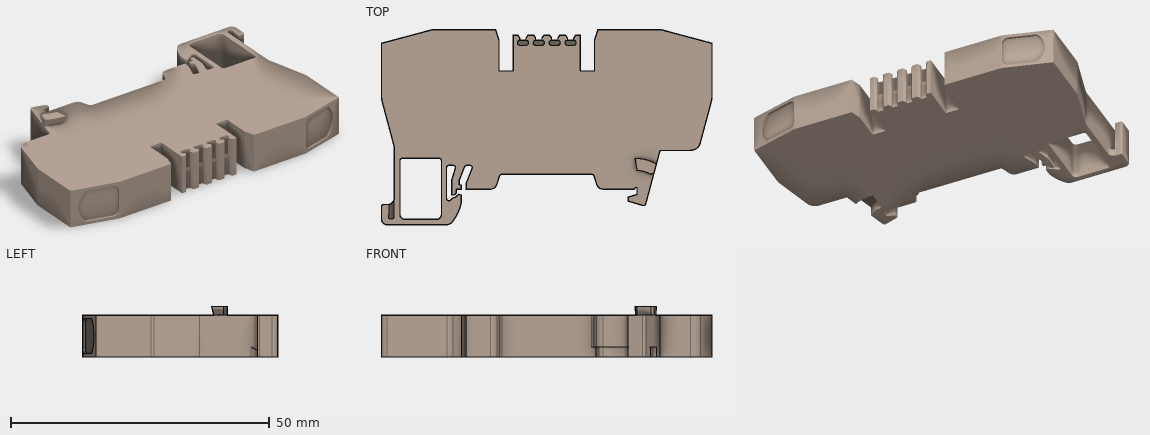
import cadquery as cq
import math

LENGTH = 64.0
WIDTH = 37.81
BODY_HEIGHT = 8.1
TOTAL_HEIGHT = 9.8
MID_X = LENGTH / 2
STEP_HEIGHT = 1.95
CUT_MARGIN = 1.0
PICK_REACH = 0.05

TAPER = math.tan(math.radians(15))
SHOULDER_X = 9.85
SHOULDER_Y = WIDTH - SHOULDER_X * TAPER
FLANK_INSET = 2.45
FLANK_TOP_Y = 24.3
FLANK_RADIUS = 2.3
FLANK_BOTTOM_Y = FLANK_TOP_Y - FLANK_INSET / TAPER
RIGHT_EDGE_Y = 14.4
RIGHT_CORNER_RADIUS = 2.0

SLOT_OUTER = 9.2
SLOT_INNER = 6.5
SLOT_FLOOR_Y = 29.8
SLOT_MOUTH_OUTER = 9.9
SLOT_MOUTH_Y = 35.7
CARRIER_Y = 36.75
TOOTH_GAPS = 4
TOOTH_PITCH = 3.08
GAP_TOP_WIDTH = 1.95
GAP_NECK_WIDTH = 1.2
GAP_NECK_Y = 36.2
GAP_FLOOR_Y = 35.75
SOCKET_LENGTH = 2.15
SOCKET_WIDTH = 1.0
SOCKET_DEPTH = BODY_HEIGHT / 2

FOOT_Y = 6.9
RAIL_Y = 9.8
RAIL_HALF = 9.02
RAIL_SLOPE = 0.93
FOOT_RADIUS = 1.3
RAIL_RADIUS = 0.55
FOOT_LEFT_X = 16.4
HOOK_CORNER = (49.45, 5.9)
SLANT_TOP_X = 53.95
HOOK_BARB_X = 47.75
HOOK_BARB_DROP = 0.5
HOOK_BARB_WIDTH = 0.8
HOOK_TIP_Y = 3.6
HOOK_TIP_RADIUS = 0.5
FOOT_STEP = 0.45
FOOT_STEP_END_X = 48.2
HEEL_RELIEF_WIDTH = 0.35
HEEL_RELIEF_DEPTH = 0.3
HEEL_RADIUS = 0.25

LATCH_TOP_Y = 11.5
LATCH_SLIT_LEFT = 12.62
LATCH_SLIT_RIGHT = 17.75
LATCH_SLIT_BOTTOM = 4.72
LATCH_SLIT_RADIUS = 0.4
LATCH_VALLEY_X = 13.25
LIP_Y = 5.95
LIP_LEDGE_Y = 5.35
LIP_WIDTH = 0.5
LIP_CHAMFER = 0.2
FOOT_BEND_Y = 8.1
TONGUE_ROOT_LEFT = 14.47
TONGUE_ROOT_RIGHT = 16.2
TONGUE_BEND_Y = 8.7
TONGUE_CATCH_Y = 7.75
TONGUE_TIP_Y = 5.75
TONGUE_TIP_RIGHT = 14.5
TONGUE_TIP_CHAMFER = 0.4
TONGUE_LEFT = 13.58
TONGUE_RIGHT = 15.1
TAIL_START = (12.7, 0)
TAIL_HEEL_MIDDLE = (13.35, 0.25)
TAIL_HEEL_END = (13.85, 0.75)
TAIL_MIDDLE = (14.88, 2.45)
TAIL_END_Y = 4.2
LATCH_TIP_X = 15.45

WINDOW_LEFT = 3.6
WINDOW_RIGHT = 11.6
WINDOW_BOTTOM = 1.1
WINDOW_TOP = 12.9
WINDOW_TOP_RADIUS = 0.5
WINDOW_BOTTOM_RADIUS = 0.9
HOOK_TOP_Y = 3.95
HOOK_FILLET = 1.25
HOOK_CORNER_RADIUS = 1.1
HOOK_TOP_RADIUS = 0.35
SLIT_LEFT = 1.45
SLIT_BOTTOM = 1.1
SLIT_ROOT_RADIUS = 0.56
WEB_HEIGHT = 1.5
WEB_FILLET = 0.45

PIN_CENTER = (49.3, 4.95)
PIN_OUTER_RADIUS = 7.9
PIN_INNER_RADIUS = 5.6
PIN_UNDERCUT = 0.42
PIN_LEFT_TOP_X = 49.1
PIN_LEFT_BOTTOM_X = 49.5
PIN_CHAMFER_START = (52.2, 9.83)
PIN_CHAMFER_END_Y = 10.05
POCKET_INNER_RADIUS = 3.7

RECESS_LENGTH = 8.4
RECESS_START = 0.1
RECESS_HEIGHT = 6.75
RECESS_BULGE = 1.65
RECESS_CORNER = 1.2
RECESS_DEPTH = 0.52


def slant_x(y):
    """X of the sloping outer side of the right foot at height y."""
    return SLANT_TOP_X - (RIGHT_EDGE_Y - y) * TAPER


def through_cut(points):
    """Cutter of the given outline through the full height of the housing."""
    height = BODY_HEIGHT + 2 * CUT_MARGIN
    return cq.Workplane("XY").polyline(points).close().extrude(height).translate((0, 0, -CUT_MARGIN))


def round_edges(body, points, radius):
    """Fillet the vertical edges that stand on the given XY points."""
    for x, y in points:
        box = cq.selectors.BoxSelector(
            (x - PICK_REACH, y - PICK_REACH, -CUT_MARGIN),
            (x + PICK_REACH, y + PICK_REACH, TOTAL_HEIGHT + CUT_MARGIN),
        )
        body = body.edges("|Z").edges(box).fillet(radius)
    return body


def make_housing():
    """Flat housing with its rail recess, feet and latch block, without the cut-outs."""
    left_toe = (MID_X - RAIL_HALF - RAIL_SLOPE, FOOT_Y)
    left_rail_end = (MID_X - RAIL_HALF, RAIL_Y)
    right_rail_end = (MID_X + RAIL_HALF, RAIL_Y)
    right_toe = (MID_X + RAIL_HALF + RAIL_SLOPE, FOOT_Y)
    right_corner = (LENGTH - (FLANK_TOP_Y - RIGHT_EDGE_Y) * TAPER, RIGHT_EDGE_Y)
    hook_x, hook_y = HOOK_CORNER
    relief_x = hook_x - HEEL_RELIEF_WIDTH
    relief_y = FOOT_Y + HEEL_RELIEF_DEPTH
    toe_tip = (slant_x(HOOK_TIP_Y), HOOK_TIP_Y)
    right_side = [
        left_toe,
        left_rail_end,
        right_rail_end,
        right_toe,
        (relief_x, FOOT_Y),
        (relief_x, relief_y),
        (hook_x, relief_y),
        HOOK_CORNER,
        (HOOK_BARB_X, hook_y - HOOK_BARB_DROP),
        (HOOK_BARB_X, hook_y - HOOK_BARB_DROP - HOOK_BARB_WIDTH),
        toe_tip,
        (SLANT_TOP_X, RIGHT_EDGE_Y),
        right_corner,
        (LENGTH, FLANK_TOP_Y),
        (LENGTH, SHOULDER_Y),
        (LENGTH - SHOULDER_X, WIDTH),
    ]
    left_side = [
        (SHOULDER_X, WIDTH),
        (0, SHOULDER_Y),
        (0, FLANK_TOP_Y),
        (FLANK_INSET, FLANK_BOTTOM_Y),
        (FLANK_INSET, HOOK_TOP_Y),
        (0, HOOK_TOP_Y),
        (0, 0),
    ]
    outline = (
        cq.Workplane("XY")
        .moveTo(*TAIL_START)
        .threePointArc(TAIL_HEEL_MIDDLE, TAIL_HEEL_END)
        .threePointArc(TAIL_MIDDLE, (LATCH_TIP_X, TAIL_END_Y))
        .lineTo(LATCH_TIP_X, FOOT_Y)
    )
    for point in right_side + left_side:
        outline = outline.lineTo(*point)
    body = outline.close().extrude(BODY_HEIGHT)
    body = round_edges(body, [left_toe, right_toe], FOOT_RADIUS)
    body = round_edges(body, [left_rail_end, right_rail_end], RAIL_RADIUS)
    body = round_edges(body, [right_corner], RIGHT_CORNER_RADIUS)
    body = round_edges(body, [toe_tip], HOOK_TIP_RADIUS)
    body = round_edges(body, [(FLANK_INSET, HOOK_TOP_Y)], HOOK_FILLET)
    body = round_edges(body, [(relief_x, FOOT_Y)], HEEL_RADIUS)
    body = round_edges(body, [(0, FLANK_TOP_Y), (LENGTH, FLANK_TOP_Y)], FLANK_RADIUS)
    body = round_edges(body, [(0, HOOK_TOP_Y)], HOOK_TOP_RADIUS)
    return round_edges(body, [(0, 0)], HOOK_CORNER_RADIUS)


def carrier_slots():
    """The two flared slots beside the marker carrier and the lowered carrier top."""
    right_half = [
        (0, CARRIER_Y),
        (SLOT_INNER, CARRIER_Y),
        (SLOT_INNER, SLOT_FLOOR_Y),
        (SLOT_OUTER, SLOT_FLOOR_Y),
        (SLOT_OUTER, SLOT_MOUTH_Y),
        (SLOT_MOUTH_OUTER, WIDTH),
        (SLOT_MOUTH_OUTER, WIDTH + CUT_MARGIN),
        (0, WIDTH + CUT_MARGIN),
    ]
    half = through_cut(right_half)
    return half.union(half.mirror("YZ")).translate((MID_X, 0, 0))


def tooth_gap(center_x):
    """One tapered gap through the carrier edge with a blind round-ended socket below it."""
    top = GAP_TOP_WIDTH / 2
    neck = GAP_NECK_WIDTH / 2
    gap = through_cut([
        (center_x - top, CARRIER_Y + CUT_MARGIN),
        (center_x - top, CARRIER_Y),
        (center_x - neck, GAP_NECK_Y),
        (center_x - neck, GAP_FLOOR_Y),
        (center_x + neck, GAP_FLOOR_Y),
        (center_x + neck, GAP_NECK_Y),
        (center_x + top, CARRIER_Y),
        (center_x + top, CARRIER_Y + CUT_MARGIN),
    ])
    socket = (
        cq.Workplane("XY")
        .center(center_x, GAP_FLOOR_Y - SOCKET_WIDTH / 2)
        .slot2D(SOCKET_LENGTH, SOCKET_WIDTH)
        .extrude(SOCKET_DEPTH)
        .translate((0, 0, BODY_HEIGHT - SOCKET_DEPTH))
    )
    return gap.union(socket)


def latch_window():
    """Rounded rectangular opening through the latch block."""
    width = WINDOW_RIGHT - WINDOW_LEFT
    depth = WINDOW_TOP - WINDOW_BOTTOM
    window = (
        cq.Workplane("XY")
        .box(width, depth, BODY_HEIGHT + 2 * CUT_MARGIN, centered=False)
        .translate((WINDOW_LEFT, WINDOW_BOTTOM, -CUT_MARGIN))
    )
    upper = [(WINDOW_LEFT, WINDOW_TOP), (WINDOW_RIGHT, WINDOW_TOP)]
    lower = [(WINDOW_LEFT, WINDOW_BOTTOM), (WINDOW_RIGHT, WINDOW_BOTTOM)]
    window = round_edges(window, upper, WINDOW_TOP_RADIUS)
    return round_edges(window, lower, WINDOW_BOTTOM_RADIUS)


def latch_gap():
    """Continuous gap that leaves a springy tongue hanging above the latch lip."""
    slit_corner = (LATCH_SLIT_LEFT, LATCH_TOP_Y)
    slit_bottom = (LATCH_SLIT_LEFT, LATCH_SLIT_BOTTOM)
    root_left = (TONGUE_ROOT_LEFT, LATCH_TOP_Y)
    root_right = (TONGUE_ROOT_RIGHT, LATCH_TOP_Y)
    far_corner = (LATCH_SLIT_RIGHT, LATCH_TOP_Y)
    tongue_outline = [
        root_left,
        (TONGUE_LEFT, TONGUE_BEND_Y),
        (TONGUE_LEFT, TONGUE_TIP_Y),
        (TONGUE_TIP_RIGHT - TONGUE_TIP_CHAMFER, TONGUE_TIP_Y),
        (TONGUE_TIP_RIGHT, TONGUE_TIP_Y + TONGUE_TIP_CHAMFER),
        (TONGUE_TIP_RIGHT, FOOT_Y),
        (LATCH_TIP_X, FOOT_Y),
        (LATCH_TIP_X, TONGUE_CATCH_Y),
        (TONGUE_RIGHT, TONGUE_CATCH_Y),
        (TONGUE_RIGHT, TONGUE_BEND_Y),
        root_right,
    ]
    lip_outline = [
        (LATCH_TIP_X, LIP_Y - LIP_CHAMFER),
        (LATCH_TIP_X - LIP_WIDTH, LIP_Y),
        (TONGUE_TIP_RIGHT - LIP_CHAMFER, LIP_LEDGE_Y),
        (TONGUE_TIP_RIGHT - LIP_WIDTH, LIP_LEDGE_Y),
        (LATCH_VALLEY_X, LATCH_SLIT_BOTTOM),
    ]
    gap = through_cut([
        slit_corner,
        *tongue_outline,
        far_corner,
        (FOOT_LEFT_X, FOOT_BEND_Y),
        (FOOT_LEFT_X, FOOT_Y - CUT_MARGIN),
        *lip_outline,
        slit_bottom,
    ])
    rounded_corners = [slit_corner, slit_bottom, root_left, root_right, far_corner]
    return round_edges(gap, rounded_corners, LATCH_SLIT_RADIUS)


def hook_slit():
    """Slit between the left hook and the window wall, closed by a low filleted web."""
    slit_top = HOOK_TOP_Y + HOOK_FILLET
    slit = through_cut([
        (SLIT_LEFT, SLIT_BOTTOM + SLIT_ROOT_RADIUS),
        (FLANK_INSET, SLIT_BOTTOM + SLIT_ROOT_RADIUS),
        (FLANK_INSET, slit_top),
        (SLIT_LEFT, slit_top),
    ])
    root_x = FLANK_INSET - SLIT_ROOT_RADIUS
    root_y = SLIT_BOTTOM + SLIT_ROOT_RADIUS
    root = (
        cq.Workplane("XY", origin=(root_x, root_y, -CUT_MARGIN))
        .circle(SLIT_ROOT_RADIUS)
        .extrude(BODY_HEIGHT + 2 * CUT_MARGIN)
    )
    web = (
        cq.Workplane("XZ")
        .moveTo(0, -CUT_MARGIN)
        .lineTo(FLANK_INSET, -CUT_MARGIN)
        .lineTo(FLANK_INSET, WEB_HEIGHT + WEB_FILLET)
        .radiusArc((FLANK_INSET - WEB_FILLET, WEB_HEIGHT), WEB_FILLET)
        .lineTo(0, WEB_HEIGHT)
        .close()
        .extrude(-WIDTH)
    )
    return slit.union(root).cut(web)


def foot_step():
    """Setback along the lower part of the right foot."""
    slope_x = RAIL_SLOPE / (RAIL_Y - FOOT_Y)
    rail_end_x = MID_X + RAIL_HALF
    toe_x = rail_end_x + RAIL_SLOPE
    setback_x = FOOT_STEP * math.hypot(1, slope_x)
    inner_toe = (toe_x + setback_x - FOOT_STEP * slope_x, FOOT_Y + FOOT_STEP)
    step = (
        cq.Workplane("XY")
        .polyline([
            (rail_end_x - RAIL_RADIUS, RAIL_Y),
            (rail_end_x + setback_x, RAIL_Y),
            inner_toe,
            (FOOT_STEP_END_X, FOOT_Y + FOOT_STEP),
            (FOOT_STEP_END_X, FOOT_Y - CUT_MARGIN),
            (rail_end_x - RAIL_RADIUS, FOOT_Y - CUT_MARGIN),
        ])
        .close()
        .extrude(STEP_HEIGHT)
    )
    return round_edges(step, [inner_toe], FOOT_RADIUS - FOOT_STEP)


def ring_sector(inner_radius, outer_radius, lower_edge, height):
    """Ring piece about the pin axis, from the pin's left side to the sloping foot side.

    The lower edge lists the points that close the piece from lower left to lower right.
    """
    ring = cq.Workplane("XY").circle(outer_radius).circle(inner_radius).extrude(height)
    ring = ring.translate((*PIN_CENTER, 0))
    top_y = PIN_CENTER[1] + outer_radius
    boundary = [(slant_x(top_y), top_y), (PIN_LEFT_TOP_X, top_y), *lower_edge]
    wedge = cq.Workplane("XY").polyline(boundary).close().extrude(height)
    return ring.intersect(wedge)


def locating_pin():
    """Curved pin on the top face; its outer face leans outwards towards the top."""
    height = TOTAL_HEIGHT - BODY_HEIGHT
    chamfer_x = PIN_CHAMFER_START[0]
    lower_edge = [
        (PIN_LEFT_BOTTOM_X, PIN_CENTER[1] + PIN_INNER_RADIUS),
        (chamfer_x, PIN_CENTER[1]),
        PIN_CHAMFER_START,
        (slant_x(PIN_CHAMFER_END_Y), PIN_CHAMFER_END_Y),
    ]
    pin = ring_sector(PIN_INNER_RADIUS, PIN_OUTER_RADIUS, lower_edge, height)
    cone = cq.Workplane("XY").add(
        cq.Solid.makeCone(PIN_OUTER_RADIUS - PIN_UNDERCUT, PIN_OUTER_RADIUS, height)
    )
    cone = cone.translate((*PIN_CENTER, 0))
    return pin.intersect(cone).translate((0, 0, BODY_HEIGHT))


def pin_pocket():
    """Pocket in the underside that takes the pin of the next housing."""
    bottom_y = PIN_CENTER[1]
    lower_edge = [(PIN_LEFT_BOTTOM_X, bottom_y), (slant_x(bottom_y), bottom_y)]
    return ring_sector(POCKET_INNER_RADIUS, PIN_OUTER_RADIUS, lower_edge, STEP_HEIGHT)


def shoulder_recess():
    """Shallow recess in the left shoulder with a bulging outer end."""
    half = RECESS_HEIGHT / 2
    straight = RECESS_LENGTH - RECESS_BULGE
    recess = (
        cq.Workplane("XZ")
        .moveTo(0, -half)
        .lineTo(0, half)
        .lineTo(-straight, half)
        .threePointArc((-RECESS_LENGTH, 0), (-straight, -half))
        .close()
        .extrude(RECESS_DEPTH + CUT_MARGIN)
        .edges("|Y and >X")
        .fillet(RECESS_CORNER)
        .translate((-RECESS_START, CUT_MARGIN, BODY_HEIGHT / 2))
    )
    tilt = math.degrees(math.atan(TAPER))
    return recess.rotate((0, 0, 0), (0, 0, 1), tilt).translate((SHOULDER_X, WIDTH, 0))


result = make_housing().cut(carrier_slots())
for index in range(TOOTH_GAPS):
    offset = (index - (TOOTH_GAPS - 1) / 2) * TOOTH_PITCH
    result = result.cut(tooth_gap(MID_X + offset))
for cutter in (latch_window(), latch_gap(), hook_slit(), foot_step(), pin_pocket()):
    result = result.cut(cutter)
left_recess = shoulder_recess()
right_recess = left_recess.mirror("YZ", (MID_X, 0, 0))
result = result.cut(left_recess).cut(right_recess).union(locating_pin())